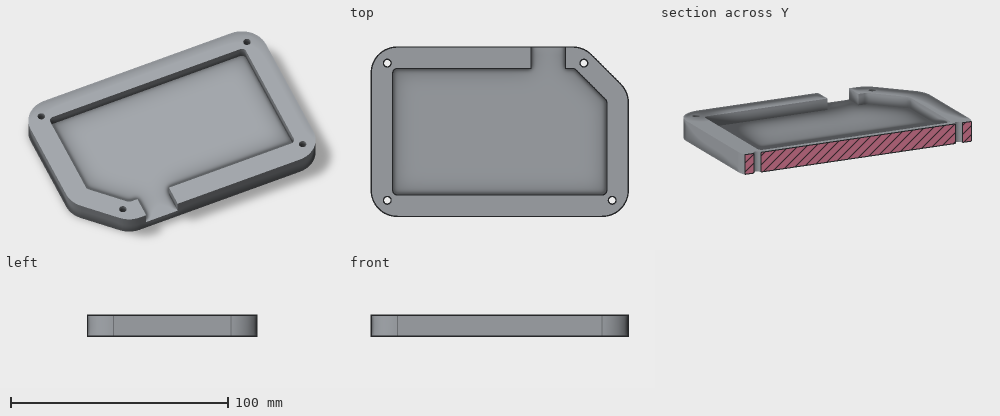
import cadquery as cq
import math

length = 118.6
width = 78.2
height = 9.7
wall = 10.0
pocket_depth = 5.5
pocket_corner_radius = 2.1
pocket_bevel = 14.8
notch_width = 15.9
notch_offset = 63.8
hole_diameter = 3.4
hole_inset = 7.5
bevel_hole_inset = 20.5

pocket_length = length - 2 * wall
pocket_width = width - 2 * wall
outer_corner_radius = pocket_corner_radius + wall
outer_bevel = pocket_bevel + wall * (2 - math.sqrt(2))
floor_z = height - pocket_depth


def beveled_plate(size_x, size_y, bevel, corner_radius, thickness):
    """Centered rectangular plate with its +X +Y corner cut at 45 degrees and all corners rounded."""
    half_x = size_x / 2
    half_y = size_y / 2
    outline = [
        (-half_x, -half_y),
        (half_x, -half_y),
        (half_x, half_y - bevel),
        (half_x - bevel, half_y),
        (-half_x, half_y),
    ]
    plate = cq.Workplane("XY").polyline(outline).close().extrude(thickness)
    return plate.edges("|Z").fillet(corner_radius)


def make_body():
    return beveled_plate(length, width, outer_bevel, outer_corner_radius, height)


def make_pocket():
    pocket = beveled_plate(pocket_length, pocket_width, pocket_bevel, pocket_corner_radius, pocket_depth)
    return pocket.translate((0, 0, floor_z))


def make_notch():
    """Opening from the middle of the pocket out through the +Y wall, level with the pocket floor."""
    notch = cq.Workplane("XY").box(notch_width, width / 2, pocket_depth, centered=False)
    return notch.translate((notch_offset - pocket_length / 2, 0, floor_z))


def make_holes():
    """Through holes near the four corners; the one beside the bevel sits further in along X."""
    hole_x = length / 2 - hole_inset
    hole_y = width / 2 - hole_inset
    centers = [
        (-hole_x, -hole_y),
        (hole_x, -hole_y),
        (-hole_x, hole_y),
        (length / 2 - bevel_hole_inset, hole_y),
    ]
    return cq.Workplane("XY").pushPoints(centers).circle(hole_diameter / 2).extrude(height)


result = make_body().cut(make_pocket()).cut(make_notch()).cut(make_holes())